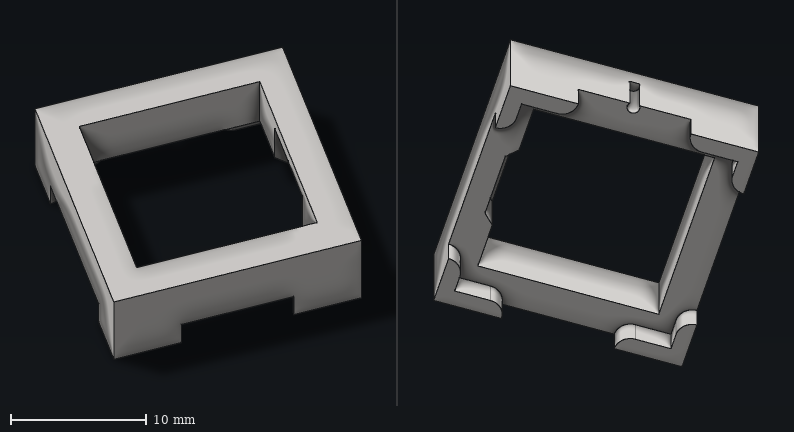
import cadquery as cq
import math

side = 19.2
height = 6.8
opening = 13.98

leg_height = 2.13
leg_thickness = 1.25
gap_x = 11.7
gap_y = 8.7

pocket_width = 6.7
pocket_depth = 0.83
pocket_top = 5.6

groove_diameter = 0.95
groove_mouth = 0.75
groove_top = 5.34


def make_frame():
    outer = cq.Workplane("XY").workplane(offset=leg_height).rect(side, side)
    return outer.rect(opening, opening).extrude(height - leg_height)


def make_leg(sign_x, sign_y):
    """L-shaped corner leg; each arm ends in a quarter round on its inner side."""
    outer = side / 2
    inner = outer - leg_thickness
    end_x = gap_x / 2
    end_y = gap_y / 2
    round_mid = leg_thickness * (1 - math.sqrt(0.5))

    def at(x, y):
        return (sign_x * x, sign_y * y)

    return (
        cq.Workplane("XY")
        .moveTo(*at(outer, outer))
        .lineTo(*at(end_x, outer))
        .threePointArc(at(end_x + round_mid, inner + round_mid), at(end_x + leg_thickness, inner))
        .lineTo(*at(inner, inner))
        .lineTo(*at(inner, end_y + leg_thickness))
        .threePointArc(at(inner + round_mid, end_y + round_mid), at(outer, end_y))
        .close()
        .extrude(leg_height)
    )


def make_pocket():
    """Pocket open downward, with 45 degree side walls."""
    mouth_y = opening / 2
    floor_y = mouth_y + pocket_depth
    mouth_x = pocket_width / 2
    floor_x = mouth_x - pocket_depth
    return (
        cq.Workplane("XY")
        .workplane(offset=leg_height)
        .polyline([(-mouth_x, mouth_y), (mouth_x, mouth_y), (floor_x, floor_y), (-floor_x, floor_y)])
        .close()
        .extrude(pocket_top - leg_height)
    )


def make_groove():
    radius = groove_diameter / 2
    axis_inset = math.sqrt(radius**2 - (groove_mouth / 2) ** 2)
    return (
        cq.Workplane("XY")
        .workplane(offset=leg_height)
        .center(-side / 2 + axis_inset, 0)
        .circle(radius)
        .extrude(groove_top - leg_height)
    )


result = make_frame()
for sign_x in (-1, 1):
    for sign_y in (-1, 1):
        result = result.union(make_leg(sign_x, sign_y))
result = result.cut(make_pocket()).cut(make_groove())